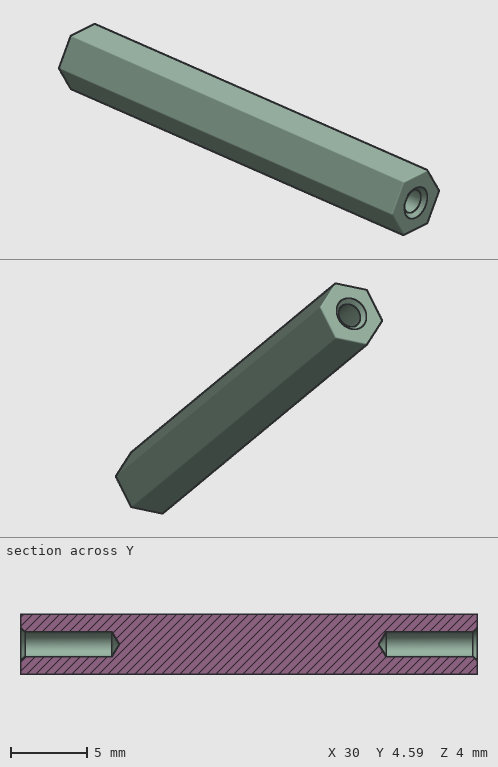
import cadquery as cq
import math

length = 30.0
across_flats = 4.0
edge_radius = 0.1

bore_diameter = 1.6
mouth_diameter = 2.2
bore_depth = 6.0
drill_point_angle = 118.0
countersink_angle = 90.0

across_corners = across_flats / math.cos(math.radians(30))
bore_radius = bore_diameter / 2
mouth_radius = mouth_diameter / 2
countersink_depth = (mouth_radius - bore_radius) / math.tan(math.radians(countersink_angle / 2))
drill_point_depth = bore_radius / math.tan(math.radians(drill_point_angle / 2))


def hexagonal_bar():
    """Hexagonal bar centred on the origin with every edge rounded."""
    bar = cq.Workplane("YZ").polygon(6, across_corners).extrude(length / 2, both=True)
    return bar.edges().fillet(edge_radius)


def blind_bore():
    """Countersunk bore with a conical bottom, entering the -X end."""
    end_x = -length / 2
    profile = (
        cq.Workplane("XY")
        .moveTo(end_x, 0)
        .lineTo(end_x, mouth_radius)
        .lineTo(end_x + countersink_depth, bore_radius)
        .lineTo(end_x + bore_depth, bore_radius)
        .lineTo(end_x + bore_depth + drill_point_depth, 0)
        .close()
    )
    return profile.revolve(360, (0, 0, 0), (1, 0, 0))


near_bore = blind_bore()
far_bore = near_bore.mirror("YZ")
result = hexagonal_bar().cut(near_bore).cut(far_bore)